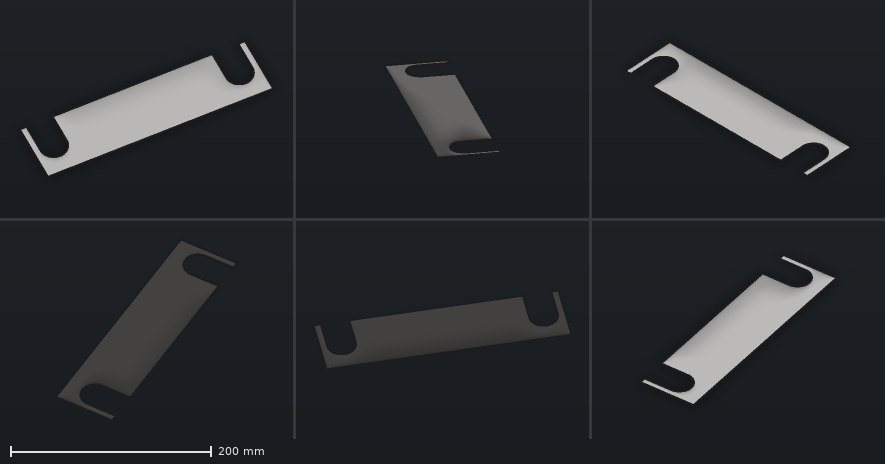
import cadquery as cq

width = 65.0
length = 250.0
thickness = 0.5

slot_radius = 14.4
slot_spacing = 206.0

open_edge_x = -width / 2
round_end_x = 0.0


def make_plate():
    """Flat rectangular plate centred on the origin in X and Y, resting on Z = 0."""
    return cq.Workplane("XY").box(width, length, thickness, centered=(True, True, False))


def make_slot_cutter(center_y):
    """Solid for one round-ended slot, running inward from the -X edge."""
    lower_y = center_y - slot_radius
    upper_y = center_y + slot_radius
    return (
        cq.Workplane("XY")
        .moveTo(open_edge_x, lower_y)
        .lineTo(round_end_x, lower_y)
        .threePointArc((round_end_x + slot_radius, center_y), (round_end_x, upper_y))
        .lineTo(open_edge_x, upper_y)
        .close()
        .extrude(thickness)
    )


result = make_plate()
for side in (-1, 1):
    result = result.cut(make_slot_cutter(side * slot_spacing / 2))